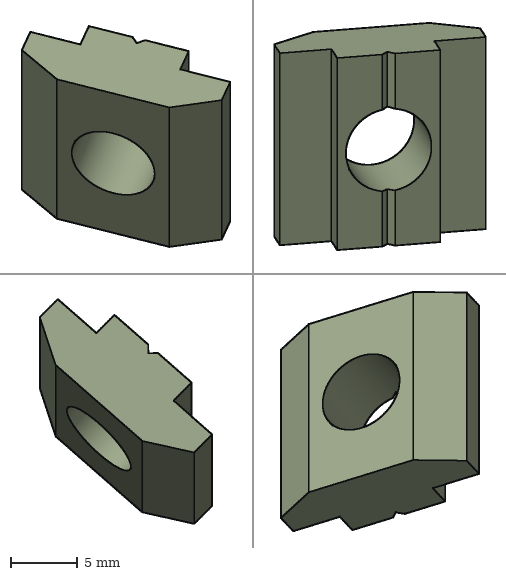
import cadquery as cq

width = 16.0
depth = 6.0
height = 15.5

stem_width = width / 2
layer_depth = depth / 3
front_face_width = 9.0
notch_depth = 0.5

hole_diameter = 6.64


def make_body():
    """Extrude the T-nut cross-section along Z, centred on the origin in X and Z."""
    front_y = 0
    flank_y = layer_depth
    shoulder_y = 2 * layer_depth
    right_half = [
        (front_face_width / 2, front_y),
        (width / 2, flank_y),
        (width / 2, shoulder_y),
        (stem_width / 2, shoulder_y),
        (stem_width / 2, depth),
        (notch_depth, depth),
    ]
    notch_bottom = (0, depth - notch_depth)
    left_half = [(-x, y) for x, y in reversed(right_half)]
    return (
        cq.Workplane("XY")
        .polyline(right_half + [notch_bottom] + left_half)
        .close()
        .extrude(height / 2, both=True)
    )


def make_hole():
    """Through hole along Y at the centre of the front face."""
    return cq.Workplane("XZ").circle(hole_diameter / 2).extrude(-depth)


result = make_body().cut(make_hole())